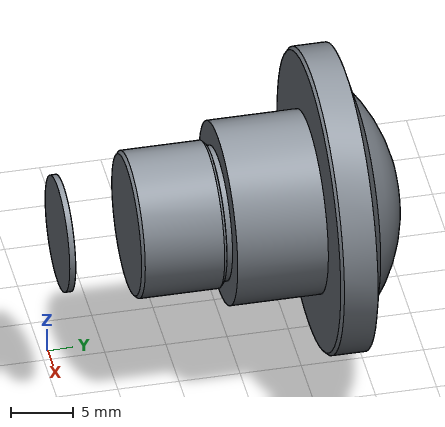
import cadquery as cq

total_length = 27.75

flange_radius = 12.497
flange_edge_height = 3.0
cone_height = 1.0
dome_base_radius = 8.85
dome_height = 3.2
head_height = flange_edge_height + cone_height + dome_height
dome_base_y = flange_edge_height + cone_height
dome_sphere_radius = (dome_base_radius**2 + dome_height**2) / (2 * dome_height)

shank_radius = 7.5
shank_length = 7.4
neck_radius = 5.5
neck_length = 0.5
tip_radius = 6.0
tip_length = 7.0
edge_chamfer = 0.25

disc_radius = 4.75
disc_thickness = 0.5
disc_outer_y = head_height - total_length


def dome_radius_at(height):
    """Radius of the spherical dome at a height above its base."""
    above_centre = dome_sphere_radius - dome_height + height
    return (dome_sphere_radius**2 - above_centre**2) ** 0.5


def make_knob():
    """Domed flange with its shank, neck and tip, revolved from a half profile."""
    shank_end = -shank_length
    neck_end = shank_end - neck_length
    tip_end = neck_end - tip_length
    dome_middle = dome_height / 2
    return (
        cq.Workplane("XY")
        .moveTo(0, tip_end)
        .lineTo(tip_radius - edge_chamfer, tip_end)
        .lineTo(tip_radius, tip_end + edge_chamfer)
        .lineTo(tip_radius, neck_end - edge_chamfer)
        .lineTo(tip_radius - edge_chamfer, neck_end)
        .lineTo(neck_radius, neck_end)
        .lineTo(neck_radius, shank_end)
        .lineTo(shank_radius, shank_end)
        .lineTo(shank_radius, 0)
        .lineTo(flange_radius - edge_chamfer, 0)
        .lineTo(flange_radius, edge_chamfer)
        .lineTo(flange_radius, flange_edge_height)
        .lineTo(dome_base_radius, dome_base_y)
        .threePointArc((dome_radius_at(dome_middle), dome_base_y + dome_middle), (0, head_height))
        .close()
        .revolve(360, (0, 0, 0), (0, 1, 0))
    )


def make_disc():
    """Thin plain disc on the common axis, clear of the stud end."""
    return (
        cq.Workplane("XZ", origin=(0, disc_outer_y, 0))
        .circle(disc_radius)
        .extrude(-disc_thickness)
    )


knob = make_knob()
disc = make_disc()
result = cq.Compound.makeCompound([knob.val(), disc.val()])